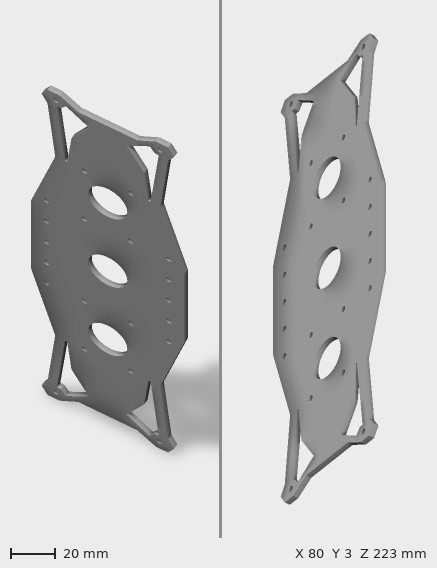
import cadquery as cq

length = 223.0
width = 80.0
thickness = 3.0
half_length = length / 2
half_width = width / 2

side_half_height = 25.0
waist_x = 27.5
waist_z = 65.3
end_edge_z = 106.0
end_edge_half_width = 15.4

ear_hole_x = 27.0
ear_hole_z = 106.5
ear_tip_x = 34.5
ear_outer_x = 31.5
ear_inner_x = 25.2
ear_base_z = 2 * ear_hole_z - half_length

window_bottom_z = 65.8
window_bottom_inner_x = 21.2
window_bottom_outer_x = 22.3
window_bend_x = 19.0
window_bend_z = 84.5
window_corner_x = 9.8
window_corner_z = 98.3
window_apex_x = 21.9
window_top_inner_x = 24.5
window_top_outer_x = 26.5
window_top_z = 102.5

large_hole_diameter = 20.3
large_hole_pitch = 50.0
small_hole_diameter = 3.0
inner_hole_x = 12.0
inner_row_z = 30.0
outer_row_z = 65.1
side_hole_x = 32.0
side_hole_pitch = inner_row_z / 2
side_hole_count = 5


def extrude_outline(points):
    """Extrude a closed XZ outline through the plate thickness, centred on Y = 0."""
    return cq.Workplane("XZ").polyline(points).close().extrude(thickness / 2, both=True)


def drill(points, diameter):
    """Cylinders along Y that cut through the plate at the given XZ points."""
    return cq.Workplane("XZ").pushPoints(points).circle(diameter / 2).extrude(thickness, both=True)


def four_corners(x, z):
    return [(sx * x, sz * z) for sx in (-1, 1) for sz in (-1, 1)]


def mirror_to_four_quadrants(body):
    both_sides = body.union(body.mirror("YZ"))
    return both_sides.union(both_sides.mirror("XY"))


def quarter_plate():
    """The +X, +Z quarter of the plate with its window."""
    outline = [
        (0, 0),
        (half_width, 0),
        (half_width, side_half_height),
        (waist_x, waist_z),
        (ear_outer_x, ear_base_z),
        (ear_tip_x, ear_hole_z),
        (ear_outer_x, half_length),
        (ear_inner_x, half_length),
        (end_edge_half_width, end_edge_z),
        (0, end_edge_z),
    ]
    window = [
        (window_bottom_inner_x, window_bottom_z),
        (window_bottom_outer_x, window_bottom_z),
        (window_top_outer_x, window_top_z),
        (window_top_inner_x, window_top_z),
        (window_apex_x, end_edge_z),
        (window_corner_x, window_corner_z),
        (window_bend_x, window_bend_z),
    ]
    return extrude_outline(outline).cut(extrude_outline(window))


def small_hole_points():
    points = four_corners(ear_hole_x, ear_hole_z)
    points += four_corners(inner_hole_x, inner_row_z)
    points += four_corners(inner_hole_x, outer_row_z)
    for index in range(side_hole_count):
        z = (index - (side_hole_count - 1) / 2) * side_hole_pitch
        points += [(-side_hole_x, z), (side_hole_x, z)]
    return points


large_hole_points = [(0, -large_hole_pitch), (0, 0), (0, large_hole_pitch)]

plate = mirror_to_four_quadrants(quarter_plate()).clean()
result = (
    plate
    .cut(drill(large_hole_points, large_hole_diameter))
    .cut(drill(small_hole_points(), small_hole_diameter))
)